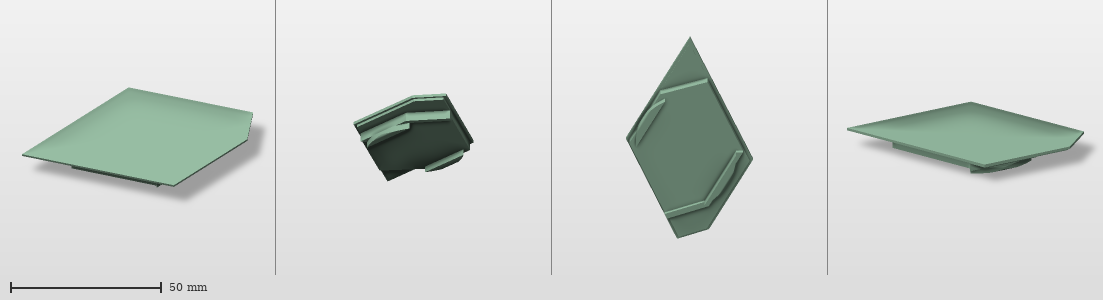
import cadquery as cq

SHEET_WIDTH = 41.0
SHEET_LENGTH = 71.2
LEFT_EDGE_LENGTH = 44.85
RIGHT_EDGE_START = 32.05
RIGHT_EDGE_END = 62.9
PEAK_X = 33.45

SHEET_DEPTH = 0.9
PAD_DEPTH = SHEET_DEPTH + 0.11
LEDGE_DEPTH = 1.8
BLOCK_DEPTH = 3.6
RIM_DEPTH = 4.7

INSET = 1.0
BLOCK_RIGHT = 35.6
BLOCK_PEAK = (25.7, 63.8)
RIM_WIDTH = 2.0
LEFT_CUT_TOP_Y = 22.7
LEFT_CUT_BOTTOM = (12.6, 11.0)

GRIP_THICKNESS = 2.0
GRIP_ROUNDING = 0.7
LEFT_GRIP_TIP = 0.0
LEFT_GRIP_BULGE = 3.1
LEFT_GRIP_LENGTH = 20.1
LEFT_GRIP_CENTER_Y = 33.45
RIGHT_GRIP_BULGE = 2.85
RIGHT_GRIP_TIP = BLOCK_RIGHT - RIM_WIDTH + RIGHT_GRIP_BULGE
RIGHT_GRIP_LENGTH = 22.1
RIGHT_GRIP_CENTER_Y = 41.15

LOWER_SLOPE = RIGHT_EDGE_START / SHEET_WIDTH
CORNER_SLOPE = (RIGHT_EDGE_END - SHEET_LENGTH) / (SHEET_WIDTH - PEAK_X)


def sheet_outline():
    return cq.Workplane("XY").polyline([
        (0, 0),
        (SHEET_WIDTH, RIGHT_EDGE_START),
        (SHEET_WIDTH, RIGHT_EDGE_END),
        (PEAK_X, SHEET_LENGTH),
        (0, LEFT_EDGE_LENGTH),
    ]).close()


def inset_layer(depth):
    """Sheet outline drawn in on every side, from the top face down to the depth."""
    return sheet_outline().offset2D(-INSET, "intersection").extrude(-depth)


def corner_region(inward):
    """Rim-deep region left of the block's right boundary, with that boundary moved inward."""
    peak_x, peak_y = BLOCK_PEAK
    shift = inward * (1 + CORNER_SLOPE**2) ** 0.5
    right = BLOCK_RIGHT - inward

    def cut_y(x):
        return peak_y - shift + CORNER_SLOPE * (x - peak_x)

    return (
        cq.Workplane("XY")
        .polyline([(0, 0), (right, 0), (right, cut_y(right)), (0, cut_y(0))])
        .close()
        .extrude(-RIM_DEPTH)
    )


def block():
    """Body following the inset outline, with its lower left corner cut off."""
    cut_x, cut_y = LEFT_CUT_BOTTOM
    lower_left = (
        cq.Workplane("XY")
        .polyline([(INSET, LEFT_CUT_TOP_Y), (0, LEFT_CUT_TOP_Y), (0, 0), (cut_x, 0), (cut_x, cut_y)])
        .close()
        .extrude(-BLOCK_DEPTH)
    )
    return inset_layer(BLOCK_DEPTH).intersect(corner_region(0)).cut(lower_left)


def rim():
    """Deeper strip along the right side, cut off from the right grip's end to the block's corner."""
    strip = inset_layer(RIM_DEPTH).intersect(corner_region(0)).cut(corner_region(RIM_WIDTH))
    grip_end_y = RIGHT_GRIP_CENTER_Y - RIGHT_GRIP_LENGTH / 2
    block_corner_y = LOWER_SLOPE * BLOCK_RIGHT + INSET * (1 + LOWER_SLOPE**2) ** 0.5
    beyond_end = (
        cq.Workplane("XY")
        .polyline([
            (BLOCK_RIGHT - RIM_WIDTH, 0),
            (BLOCK_RIGHT, 0),
            (BLOCK_RIGHT, block_corner_y),
            (BLOCK_RIGHT - RIM_WIDTH, grip_end_y),
        ])
        .close()
        .extrude(-RIM_DEPTH)
    )
    return strip.cut(beyond_end)


def ledge():
    """Thin step between the block and the right side of the sheet."""
    return inset_layer(LEDGE_DEPTH).cut(corner_region(0))


def grip(tip_x, bulge, length, center_y, top_depth, side):
    """Circular segment bulging toward side (-1 left, +1 right), rounded across its tip."""
    flat_x = tip_x - side * bulge
    half = length / 2
    segment = (
        cq.Workplane("XY", origin=(0, center_y, -top_depth))
        .moveTo(flat_x, -half)
        .threePointArc((tip_x, 0), (flat_x, half))
        .close()
        .extrude(-GRIP_THICKNESS)
    )
    rounded_bar = (
        cq.Workplane("XY")
        .box(bulge, length, GRIP_THICKNESS)
        .edges("|Y and " + (">X" if side > 0 else "<X"))
        .fillet(GRIP_ROUNDING)
        .translate(((flat_x + tip_x) / 2, center_y, -top_depth - GRIP_THICKNESS / 2))
    )
    return segment.intersect(rounded_bar)


left_grip = grip(
    LEFT_GRIP_TIP, LEFT_GRIP_BULGE, LEFT_GRIP_LENGTH, LEFT_GRIP_CENTER_Y, BLOCK_DEPTH, side=-1
)
right_grip = grip(
    RIGHT_GRIP_TIP, RIGHT_GRIP_BULGE, RIGHT_GRIP_LENGTH, RIGHT_GRIP_CENTER_Y, RIM_DEPTH, side=1
)

result = (
    sheet_outline()
    .extrude(-SHEET_DEPTH)
    .union(inset_layer(PAD_DEPTH))
    .union(ledge())
    .union(block())
    .union(rim())
    .union(left_grip)
    .union(right_grip)
)